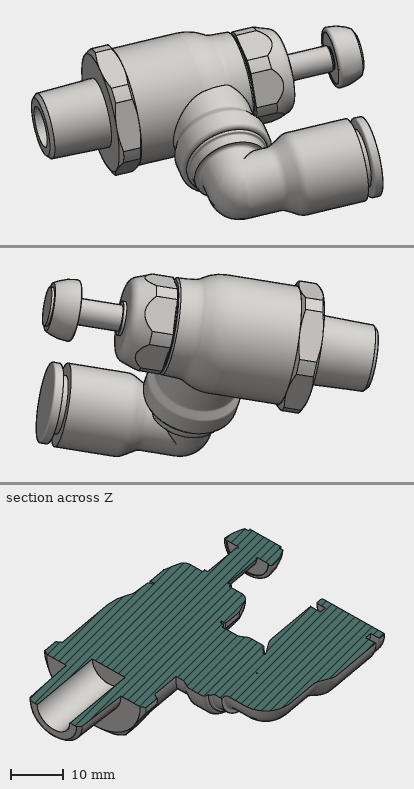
import cadquery as cq
import math


thread_length = 11.95
thread_gauge_length = 6.0
thread_gauge_radius = 6.58
thread_taper = 1 / 32
thread_chamfer = 0.75
bore_radius = 4.0

hex_across_flats = 23.0
hex_corner_radius = 12.5
hex_height = 4.5
hex_chamfer_angle = math.radians(30)

body_radius = 11.4
shoulder_start_y = 20.6
shoulder_end_y = 23.45
body_neck_radius = 9.62
body_top_radius = 9.36
body_top_y = 27.9
body_top_chamfer = 0.35
shoulder_round = 9.1
shoulder_fillet = 2.4

nut_gap = 0.3
nut_gap_radius = 8.3
nut_across_flats = 17.3
nut_corner_radius = 9.31
nut_base_y = body_top_y + nut_gap
nut_cone_y = nut_base_y + 4.1
nut_top_y = nut_base_y + 8.47
nut_cone_slope = 0.36
nut_top_round = 2.0

washer_radius = 3.3
washer_thickness = 0.58
stem_radius = 2.55
stem_chamfer = 0.3
knob_radius = 5.95
knob_base_y = 45.95
knob_top_y = 51.45
knob_edge_round = 0.6
knob_dome_radius = 8.2
knob_dome_height = 4.4
knob_button_radius = 3.8
knob_recess_radius = 5.1
knob_recess_depth = 0.2

branch_y = 19.0
branch_radius = 8.14
ring_radius = 9.14
ring_foot_x = 13.27
ring_crest_x = 15.15
ring_cone_round = 1.0
ring_end_x = 19.3
ring_end_round = 0.8
lip_radius = 8.1
lip_end_x = 19.9
lip_round = 0.25
lip_fillet = 0.35
sleeve_radius = 7.38
sleeve_end_x = 22.0

elbow_x = 26.73
elbow_radius = 6.15
elbow_fillet = 0.6

socket_radius = 8.07
socket_foot_y = 26.4
socket_crest_y = 29.8
socket_fillet = 2.5
socket_round = 3.0
socket_top_y = 42.2
release_neck_radius = 5.66
release_flange_radius = 7.8
release_flange_thickness = 1.75
release_top_y = 45.3
release_edge_round = 0.35


def turned(corners):
    """Solid turned about the Y axis.

    Each corner is (y, radius) or (y, radius, rounding), in order of rising y.
    A rounded corner becomes an arc tangent to both of its sides.
    """
    first_y = corners[0][0]
    last_y = corners[-1][0]
    outline = [cq.Vector(corner[1], corner[0]) for corner in corners]
    profile = cq.Workplane("XY").moveTo(0, first_y).lineTo(corners[0][1], first_y)
    for i in range(1, len(corners)):
        corner = outline[i]
        if len(corners[i]) == 2:
            profile = profile.lineTo(corner.x, corner.y)
            continue
        rounding = corners[i][2]
        following = outline[i + 1] if i + 1 < len(outline) else cq.Vector(0, last_y)
        back = (outline[i - 1] - corner).normalized()
        ahead = (following - corner).normalized()
        half_angle = back.getAngle(ahead) / 2
        tangent_length = rounding / math.tan(half_angle)
        apex_distance = rounding / math.sin(half_angle) - rounding
        start = corner + back * tangent_length
        middle = corner + (back + ahead).normalized() * apex_distance
        end = corner + ahead * tangent_length
        profile = profile.lineTo(start.x, start.y)
        profile = profile.threePointArc((middle.x, middle.y), (end.x, end.y))
    profile = profile.lineTo(0, last_y).close()
    return profile.revolve(360, (0, 0, 0), (0, 1, 0))


def hex_bar(across_flats, start_y, end_y):
    """Hexagonal bar along Y with two flats facing +Z and -Z."""
    across_corners = across_flats / math.cos(math.radians(30))
    section = cq.Workplane("XZ", origin=(0, end_y, 0)).polygon(6, across_corners)
    return section.extrude(end_y - start_y)


def make_thread():
    def radius_at(y):
        return thread_gauge_radius + thread_taper * (y - gauge_y)

    gauge_y = thread_gauge_length - thread_length
    chamfer_y = thread_chamfer - thread_length
    return turned([
        (-thread_length, radius_at(chamfer_y) - thread_chamfer),
        (chamfer_y, radius_at(chamfer_y)),
        (0, radius_at(0)),
    ])


def make_wrench_hex():
    face_radius = hex_across_flats / 2
    chamfer_height = (hex_corner_radius - face_radius) * math.tan(hex_chamfer_angle)
    envelope = turned([
        (0, face_radius),
        (chamfer_height, hex_corner_radius),
        (hex_height - chamfer_height, hex_corner_radius),
        (hex_height, face_radius),
    ])
    return envelope.intersect(hex_bar(hex_across_flats, 0, hex_height))


def make_body():
    return turned([
        (hex_height, body_radius),
        (shoulder_start_y, body_radius, shoulder_round),
        (shoulder_end_y, body_neck_radius, shoulder_fillet),
        (body_top_y - body_top_chamfer, body_top_radius),
        (body_top_y, body_top_radius - body_top_chamfer),
        (body_top_y, nut_gap_radius),
        (nut_base_y, nut_gap_radius),
    ])


def make_lock_nut():
    cone_top_radius = nut_corner_radius - nut_cone_slope * (nut_top_y - nut_cone_y)
    envelope = turned([
        (nut_base_y, nut_corner_radius),
        (nut_cone_y, nut_corner_radius),
        (nut_top_y, cone_top_radius, nut_top_round),
    ])
    return envelope.intersect(hex_bar(nut_across_flats, nut_base_y, nut_top_y))


def make_stem():
    washer_top_y = nut_top_y + washer_thickness
    return turned([
        (nut_top_y, washer_radius),
        (washer_top_y, washer_radius),
        (washer_top_y, stem_radius),
        (knob_base_y - stem_chamfer, stem_radius),
        (knob_base_y, stem_radius - stem_chamfer),
        (knob_base_y + knob_recess_depth, stem_radius - stem_chamfer),
    ])


def make_knob():
    """Domed knob with a raised button on top and a shallow recess in its underside."""
    def dome_point(height):
        drop = knob_dome_radius - math.sqrt(knob_dome_radius ** 2 - height ** 2)
        return (knob_radius - drop, dome_y + height)

    dome_y = knob_base_y + knob_edge_round
    edge_inset = knob_edge_round * (1 - math.sqrt(0.5))
    face_y = knob_base_y + knob_recess_depth
    dome_top = dome_point(knob_dome_height)
    profile = (
        cq.Workplane("XY")
        .moveTo(0, face_y)
        .lineTo(knob_recess_radius, face_y)
        .lineTo(knob_recess_radius, knob_base_y)
        .lineTo(knob_radius - knob_edge_round, knob_base_y)
        .threePointArc((knob_radius - edge_inset, knob_base_y + edge_inset), (knob_radius, dome_y))
        .threePointArc(dome_point(knob_dome_height / 2), dome_top)
        .lineTo(knob_button_radius, dome_top[1])
        .lineTo(knob_button_radius, knob_top_y)
        .lineTo(0, knob_top_y)
        .close()
    )
    return profile.revolve(360, (0, 0, 0), (0, 1, 0))


def make_branch():
    """Ringed branch, turned about Y and then laid along +X."""
    branch = turned([
        (0, branch_radius),
        (ring_foot_x, branch_radius, ring_cone_round),
        (ring_crest_x, ring_radius, ring_cone_round),
        (ring_end_x, ring_radius, ring_end_round),
        (ring_end_x, lip_radius),
        (lip_end_x, lip_radius, lip_round),
        (lip_end_x, sleeve_radius, lip_fillet),
        (sleeve_end_x, sleeve_radius),
        (sleeve_end_x, elbow_radius, elbow_fillet),
        (elbow_x, elbow_radius),
    ])
    return branch.rotate((0, 0, 0), (0, 0, 1), -90).translate((0, branch_y, 0))


def make_elbow_and_socket():
    """Ball at the bend, then the neck, tube socket and release ring along +Y."""
    ball = cq.Workplane("XY").sphere(elbow_radius).translate((0, branch_y, 0))
    flange_y = release_top_y - release_flange_thickness
    upright = turned([
        (branch_y, elbow_radius),
        (socket_foot_y, elbow_radius, socket_fillet),
        (socket_crest_y, socket_radius, socket_round),
        (socket_top_y, socket_radius),
        (socket_top_y, release_neck_radius),
        (flange_y, release_neck_radius),
        (flange_y, release_flange_radius, release_edge_round),
        (release_top_y, release_flange_radius, release_edge_round),
    ])
    return upright.union(ball).translate((elbow_x, 0, 0))


def make_bore():
    """Blind bore from the thread end through the wrench hexagon."""
    bore_start = cq.Workplane("XZ", origin=(0, hex_height, 0))
    return bore_start.circle(bore_radius).extrude(thread_length + hex_height)


result = (
    make_thread()
    .union(make_wrench_hex())
    .union(make_body())
    .union(make_lock_nut())
    .union(make_stem())
    .union(make_knob())
    .union(make_branch())
    .union(make_elbow_and_socket())
    .cut(make_bore())
)